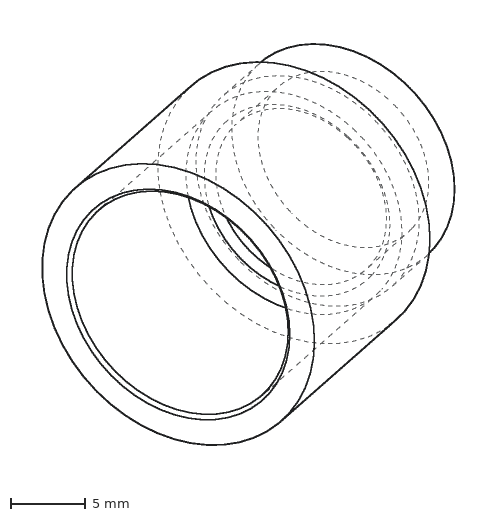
import cadquery as cq
import math

length = 23.0
body_radius = 21.0 / 2
neck_radius = 8.6
neck_length = 5.0
shoulder_length = body_radius - neck_radius

mouth_radius = 8.6
socket_radius = 8.33
seat_radius = 7.15
through_radius = 6.58
seat_half_angle = 70.0
mouth_chamfer = mouth_radius - socket_radius
hole_chamfer = seat_radius - through_radius
seat_length = (socket_radius - seat_radius) / math.tan(math.radians(seat_half_angle))

front = -length / 2
back = length / 2
neck_start = back - neck_length
body_end = neck_start - shoulder_length
seat_start = body_end
seat_end = seat_start + seat_length
through_start = seat_end + hole_chamfer

profile = [
    (mouth_radius, front),
    (body_radius, front),
    (body_radius, body_end),
    (neck_radius, neck_start),
    (neck_radius, back),
    (through_radius, back),
    (through_radius, through_start),
    (seat_radius, seat_end),
    (socket_radius, seat_start),
    (socket_radius, front + mouth_chamfer),
]

result = cq.Workplane("XY").polyline(profile).close().revolve(360, (0, 0, 0), (0, 1, 0))